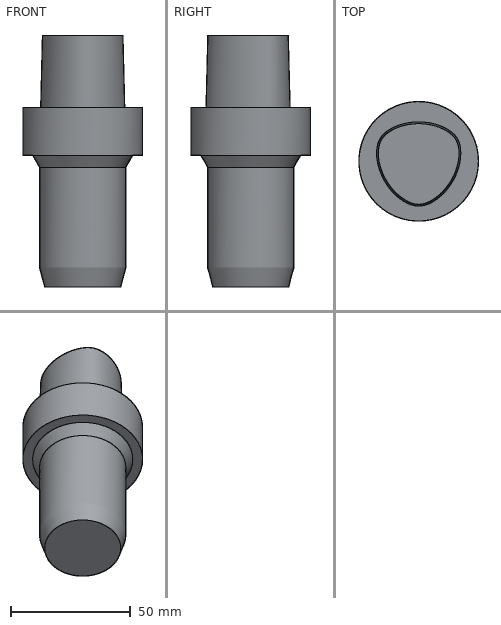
import cadquery as cq
import math

TOTAL_HEIGHT = 105.0
FLANGE_DIAMETER = 49.98
FLANGE_HEIGHT = 20.0
SHANK_DIAMETER = 36.0
NECK_HEIGHT = 5.0
NECK_ANGLE = 30.0
LEAD_IN_HEIGHT = 8.0
LEAD_IN_ANGLE = 15.0
POLYGON_HEIGHT = 30.0
POLYGON_BASE_DIAMETER = 35.15
POLYGON_TAPER = 1 / 20
LOBE_ECCENTRICITY = 1.12
LOBE_COUNT = 3
LOBE_DIRECTION = -90.0
POINTS_PER_LOBE = 12

FLANGE_TOP = TOTAL_HEIGHT - POLYGON_HEIGHT
FLANGE_BOTTOM = FLANGE_TOP - FLANGE_HEIGHT
SHANK_TOP = FLANGE_BOTTOM - NECK_HEIGHT
FLANGE_RADIUS = FLANGE_DIAMETER / 2
SHANK_RADIUS = SHANK_DIAMETER / 2
NECK_TOP_RADIUS = SHANK_RADIUS + NECK_HEIGHT * math.tan(math.radians(NECK_ANGLE))
LEAD_IN_RADIUS = SHANK_RADIUS - LEAD_IN_HEIGHT * math.tan(math.radians(LEAD_IN_ANGLE))
POLYGON_TOP_DIAMETER = POLYGON_BASE_DIAMETER - POLYGON_TAPER * POLYGON_HEIGHT


def turned_body():
    """Shank, neck and flange as one revolved profile."""
    profile = [
        (0, 0),
        (LEAD_IN_RADIUS, 0),
        (SHANK_RADIUS, LEAD_IN_HEIGHT),
        (SHANK_RADIUS, SHANK_TOP),
        (NECK_TOP_RADIUS, FLANGE_BOTTOM),
        (FLANGE_RADIUS, FLANGE_BOTTOM),
        (FLANGE_RADIUS, FLANGE_TOP),
        (0, FLANGE_TOP),
    ]
    return cq.Workplane("XZ").polyline(profile).close().revolve(360, (0, 0), (0, 1))


def lobed_point(angle, mean_radius):
    """Point of the constant-width curve where its outward normal has this angle.

    The tangent line lies at mean_radius + eccentricity * cos(lobes * phase) from the axis.
    """
    phase = LOBE_COUNT * (angle - math.radians(LOBE_DIRECTION))
    normal_distance = mean_radius + LOBE_ECCENTRICITY * math.cos(phase)
    tangent_distance = -LOBE_COUNT * LOBE_ECCENTRICITY * math.sin(phase)
    x = normal_distance * math.cos(angle) - tangent_distance * math.sin(angle)
    y = normal_distance * math.sin(angle) + tangent_distance * math.cos(angle)
    return x, y


def lobed_wire(mean_diameter, level):
    """Closed smooth outline of the polygon at one height."""
    count = LOBE_COUNT * POINTS_PER_LOBE
    points = []
    for i in range(count):
        x, y = lobed_point(2 * math.pi * i / count, mean_diameter / 2)
        points.append(cq.Vector(x, y, level))
    return cq.Wire.assembleEdges([cq.Edge.makeSpline(points, periodic=True)])


def tapered_polygon():
    """Three-lobed end, narrowing upward."""
    base = lobed_wire(POLYGON_BASE_DIAMETER, FLANGE_TOP)
    top = lobed_wire(POLYGON_TOP_DIAMETER, TOTAL_HEIGHT)
    return cq.Workplane(cq.Solid.makeLoft([base, top], True))


result = turned_body().union(tapered_polygon())